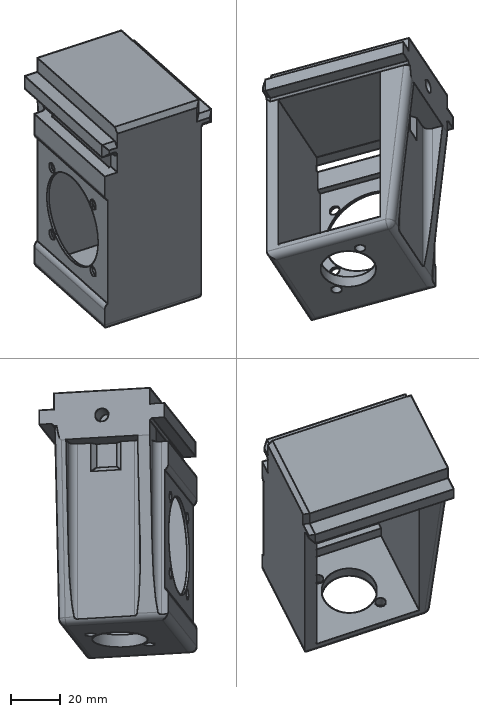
import cadquery as cq
length = 62.5
width = 51.7
height = 94.8
body_width = 39.6
front_y = -width / 2
side_y = body_width / 2
corner_radius = 3.0

overshoot = 4.7
pick_margin = 0.1

head_bottom = 75.2
flange_bottom = 82.1
flange_top = 88.1
root_chamfer = 0.95
neck_bottom = 81.1
end_chamfer = 2.1
shoulder_top = flange_top - end_chamfer
pin_hole_diameter = 5.5
pin_hole_height = 84.6
pin_hole_depth = 9.5

foot_x = 7.6
channel_width = 29.6

front_plate_top = 74.1
recess_depth = 1.4
recess_bottom = 10.1
recess_top = 64.75

wall = 5.1
cavity_top = neck_bottom
front_skin = 1.0

center_x = (foot_x + length) / 2

opening_diameter = 40.0
opening_height = 37.9
screw_diameter = 4.3
front_screw_spacing = 32.0

floor_opening_diameter = 22.4
floor_screw_x = 9.5
floor_screw_y = 10.1

pocket_width = 12.3
pocket_bottom = 63.3
pocket_taper = 2.0
pocket_depth = 2.0


def box(x_range, y_range, z_range):
    """Box between the given limits along X, Y and Z."""
    ranges = (x_range, y_range, z_range)
    sizes = [high - low for low, high in ranges]
    corner = tuple(low for low, high in ranges)
    return cq.Workplane("XY").box(*sizes, centered=False).translate(corner)


def body():
    """Block with a sloped side and rounded bottom; the slope continues up into the flanges."""
    top_x = foot_x * (1 - shoulder_top / head_bottom)
    profile = [(foot_x, 0), (length, 0), (length, shoulder_top), (top_x, shoulder_top)]
    block = cq.Workplane("XZ", origin=(0, side_y, 0)).polyline(profile).close().extrude(side_y - front_y)
    low = (-pick_margin, side_y - pick_margin, pick_margin)
    high = (foot_x, side_y + pick_margin, height)
    slope_edge = cq.selectors.BoxSelector(low, high)
    return block.edges(slope_edge).fillet(corner_radius).faces("<Z").edges().fillet(corner_radius)


def side_cuts():
    """Channel between the two sloped ribs, and the step beside the front plate."""
    channel = box((-overshoot, foot_x), (-channel_width / 2, channel_width / 2), (-overshoot, head_bottom))
    channel = channel.edges(">X and |Z").fillet(corner_radius)
    step = box((-overshoot, foot_x), (front_y - overshoot, -side_y), (-overshoot, height))
    step = step.edges(">X and >Y and |Z").fillet(corner_radius)
    above_plate = box((-overshoot, length), (front_y, -side_y), (front_plate_top, height))
    return channel.union(step).union(above_plate)


def head():
    """Neck, flanged slab and top block; the +X end is chamfered except along the -Y side of the block."""
    neck = box((-overshoot, length), (-side_y, side_y), (neck_bottom, shoulder_top))
    flanges = box((-overshoot, length), (front_y, -front_y), (flange_bottom, flange_top))
    flanges = flanges.faces(">X").edges().chamfer(end_chamfer)
    block = box((-overshoot, length), (-side_y, side_y), (shoulder_top, height))
    block = block.faces(">X").edges(">Z or >Y").chamfer(end_chamfer)
    solid = neck.union(flanges).union(block)
    low = (0, -side_y - pick_margin, flange_bottom - pick_margin)
    high = (length, side_y + pick_margin, shoulder_top - pick_margin)
    roots = solid.edges(cq.selectors.BoxSelector(low, high)).edges("not(|Y)")
    return roots.chamfer(root_chamfer)


def front_recess():
    """Recess across the front plate, with rounded shoulders above and below."""
    recess = box((0, length), (front_y, front_y + recess_depth), (recess_bottom, recess_top))
    for shoulder_z in (recess_bottom, recess_top):
        shoulder = cq.Workplane("YZ").center(front_y + corner_radius, shoulder_z).circle(corner_radius)
        recess = recess.cut(shoulder.extrude(length))
    return recess


def front_holes():
    """Large opening in the front plate with a screw hole at each corner."""
    depth = side_y - front_y
    plane = cq.Workplane("XZ", origin=(center_x, side_y, opening_height))
    holes = plane.circle(opening_diameter / 2).extrude(depth)
    screws = plane.rect(front_screw_spacing, front_screw_spacing, forConstruction=True).vertices()
    return holes.union(screws.circle(screw_diameter / 2).extrude(depth))


def floor_holes():
    """Opening through the floor with two screw holes diagonally across it."""
    plane = cq.Workplane("XY").center(center_x, 0)
    holes = plane.circle(floor_opening_diameter / 2).extrude(wall)
    screws = plane.pushPoints([(floor_screw_x, -floor_screw_y), (-floor_screw_x, floor_screw_y)])
    return holes.union(screws.circle(screw_diameter / 2).extrude(wall))


def pocket():
    """Pocket narrowing inward from both sides and from below."""
    inner_half = pocket_width / 2 - pocket_taper
    inner_bottom = pocket_bottom + pocket_taper

    def outline(workplane, half_width, bottom):
        mid_z = (bottom + head_bottom) / 2
        return workplane.center(0, mid_z).rect(2 * half_width, head_bottom - bottom).center(0, -mid_z)

    outer = outline(cq.Workplane("YZ", origin=(foot_x, 0, 0)), pocket_width / 2, pocket_bottom)
    return outline(outer.workplane(offset=pocket_depth), inner_half, inner_bottom).loft(ruled=True)


def cavity():
    """Cavity open toward +Y; its front wall is thinned behind the recess."""
    inside = (foot_x + wall, length - wall)
    main = box(inside, (front_y + wall, side_y), (wall, cavity_top))
    thinned = box(inside, (front_y + recess_depth + front_skin, side_y), (recess_bottom, recess_top))
    return main.union(thinned)


def pin_hole():
    """Blind hole in the -X face of the head."""
    plane = cq.Workplane("YZ").center(0, pin_hole_height)
    return plane.circle(pin_hole_diameter / 2).extrude(pin_hole_depth)


result = body().cut(side_cuts()).union(head())
result = result.intersect(box((0, length), (front_y, -front_y), (0, height)))
for cutter in (front_recess(), cavity(), front_holes(), floor_holes(), pocket(), pin_hole()):
    result = result.cut(cutter)